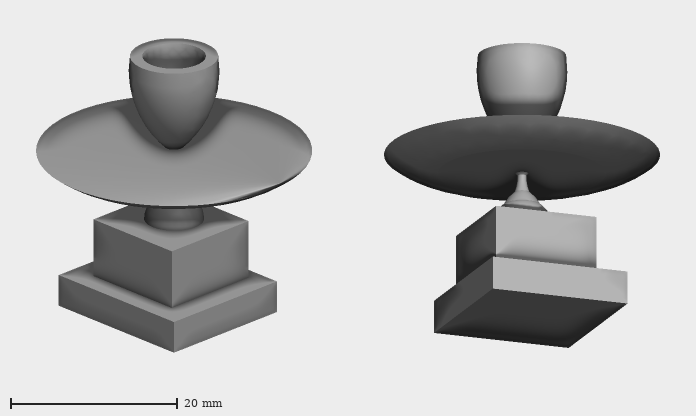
import cadquery as cq

total_height = 32.82
total_length = 34.73

slab_width = 19.75
slab_depth = 16.22
slab_height = 4.03
slab_center_x = 0.1
block_width = 13.45
block_depth = 12.95
block_height = 7.43
block_center_x = 0.07
base_center_y = -0.6
block_top = slab_height + block_height

nameplate_thickness = 1.15
slab_front_y = base_center_y - slab_depth / 2

foot_radius = 3.6
foot_bulge = (3.13, 13.15)
shoulder_radius = 2.25
shoulder_bottom = 14.03
shoulder_bulge = (1.7, 14.9)
neck_bottom_radius = 0.9
neck_bottom = 15.65
neck_waist = (0.63, 16.65)
neck_radius = 0.52
neck_top = 17.75
collar_radius = 0.85
collar_chamfer = collar_radius - neck_radius
cup_bottom = 20.7
cup_side = [(3.13, 23.35), (5.15, 28.0)]
cup_rim_radius = 5.3
cavity_radius = 3.82
cavity_side = [(2.8, 29.95), (1.98, 28.48)]
cavity_depth = 6.6

disc_diameter = 33.25
disc_radius = disc_diameter / 2
disc_bottom = 18.02
disc_bottom_radius = 10.1
disc_side = (13.85, 18.8)
disc_rim_height = 20.4
tip_height = 21.7
tip_x = total_length - disc_radius


def make_box(width, depth, height, center_x, center_y, bottom):
    """Upright box centred at (center_x, center_y) and standing at the given height."""
    return (
        cq.Workplane("XY", origin=(center_x, center_y, bottom))
        .box(width, depth, height, centered=(True, True, False))
    )


def make_goblet():
    """Turned goblet whose foot stands on the block."""
    profile = (
        cq.Workplane("XZ")
        .moveTo(0, block_top)
        .lineTo(foot_radius, block_top)
        .threePointArc(foot_bulge, (shoulder_radius, shoulder_bottom))
        .threePointArc(shoulder_bulge, (neck_bottom_radius, neck_bottom))
        .threePointArc(neck_waist, (neck_radius, neck_top))
        .lineTo(collar_radius, neck_top + collar_chamfer)
        .lineTo(collar_radius, cup_bottom)
        .spline([*cup_side, (cup_rim_radius, total_height)], includeCurrent=True)
        .lineTo(cavity_radius, total_height)
        .spline([*cavity_side, (0, total_height - cavity_depth)], includeCurrent=True)
        .close()
    )
    return profile.revolve(360, (0, 0, 0), (0, 1, 0))


def make_trophy():
    """Slab, block and goblet as one body."""
    slab = make_box(slab_width, slab_depth, slab_height, slab_center_x, base_center_y, 0)
    block = make_box(block_width, block_depth, block_height, block_center_x, base_center_y, slab_height)
    return slab.union(block).union(make_goblet()).solids()


def make_nameplate():
    """Plate as wide and as tall as the slab, flush against its front face."""
    center_y = slab_front_y - nameplate_thickness / 2
    return make_box(slab_width, nameplate_thickness, slab_height, slab_center_x, center_y, 0)


def make_dish():
    """Flat-bottomed dish with a curved flank, up to the rim."""
    profile = (
        cq.Workplane("XZ")
        .moveTo(0, disc_bottom)
        .lineTo(disc_bottom_radius, disc_bottom)
        .threePointArc(disc_side, (disc_radius, disc_rim_height))
        .lineTo(0, disc_rim_height)
        .close()
    )
    return profile.revolve(360, (0, 0, 0), (0, 1, 0))


def make_pointed_top():
    """Oblique cone from the round rim to a tip that overhangs the +X side."""
    rim = cq.Wire.makeCircle(disc_radius, cq.Vector(0, 0, disc_rim_height), cq.Vector(0, 0, 1))
    tip = cq.Vertex.makeVertex(tip_x, 0, tip_height)
    return cq.Workplane(cq.occ_impl.shapes.loft([rim, tip], cap=True, ruled=True))


def make_disc(trophy):
    """Pointed disc with a hole that fits the goblet passing through it."""
    return make_dish().union(make_pointed_top()).cut(trophy).solids()


trophy = make_trophy()
nameplate = make_nameplate()
disc = make_disc(trophy)
result = cq.Compound.makeCompound([trophy.val(), nameplate.val(), disc.val()])